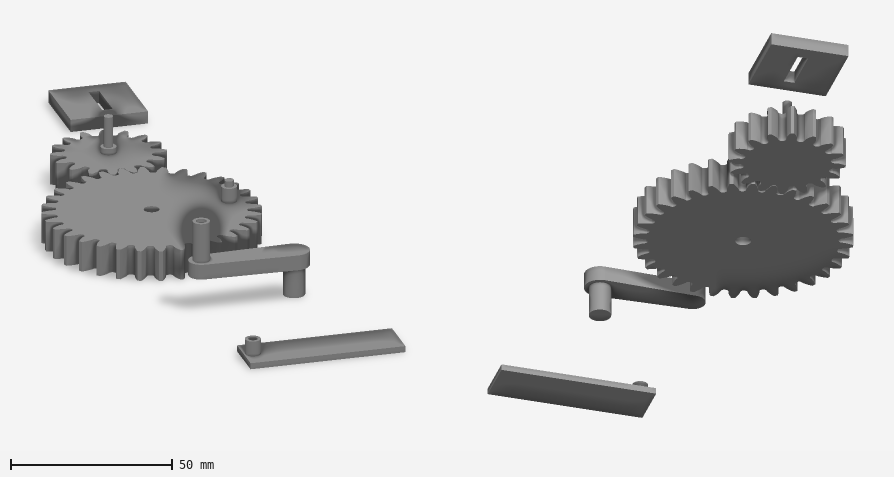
import cadquery as cq
import math


GEAR_THICKNESS = 10.0
MODULE = 2.0
WHEEL_TEETH = 32
PINION_TEETH = WHEEL_TEETH // 2
ADDENDUM = 2.15
DEDENDUM = 2.5
PRESSURE_ANGLE = math.radians(20)
BACKLASH = 0.1
FLANK_STEPS = 4
CENTER_DISTANCE = MODULE * (WHEEL_TEETH + PINION_TEETH) / 2

BOSS_DIAMETER = 5.0
PIN_DIAMETER = 3.0

PINION_COLLAR_HEIGHT = 2.0
PINION_PIN_TOP = 22.0

CRANKPIN_OFFSET = 25.0
ARM_THICKNESS = 5.0
CRANKPIN_TIP_HEIGHT = 2.0

CRANK_X = 55.1
CRANK_LENGTH = 30.0
CRANK_SMALL_RADIUS = 4.0
CRANK_LARGE_RADIUS = 5.0
CRANK_SHAFT_DIAMETER = 7.0
CRANK_PIN_DIAMETER = 5.5
CRANK_PIN_BORE = 3.4
CRANK_TOP = 28.0

BLOCK_SIDE = 25.0
BLOCK_THICKNESS = 4.0
BLOCK_LEFT = -115.0
SLOT_LENGTH = 15.0
SLOT_WIDTH = 3.4
SLOT_Y = 13.3

STRIP_WIDTH = 15.0
STRIP_LENGTH = 50.0
STRIP_THICKNESS = 2.0
STRIP_RIGHT = 110.0
SOCKET_HEIGHT = 5.0
SOCKET_Y = 3.0


def polar(radius, angle):
    return (radius * math.cos(angle), radius * math.sin(angle))


def cylinder(diameter, bottom, top, x=0, y=0):
    """Upright cylinder between two heights."""
    return (
        cq.Workplane("XY", origin=(x, y, bottom))
        .circle(diameter / 2)
        .extrude(top - bottom)
    )


def gear_blank(teeth, first_tooth_angle):
    """Involute spur gear whose tooth gaps end in a single round arc."""
    pitch_radius = MODULE * teeth / 2
    base_radius = pitch_radius * math.cos(PRESSURE_ANGLE)
    tip_radius = pitch_radius + ADDENDUM
    root_radius = pitch_radius - DEDENDUM
    tooth_step = 2 * math.pi / teeth
    involute_at_pitch = math.tan(PRESSURE_ANGLE) - PRESSURE_ANGLE
    base_half_angle = tooth_step / 4 + involute_at_pitch - BACKLASH / (2 * pitch_radius)

    flank = []
    for step in range(FLANK_STEPS + 1):
        radius = base_radius + (tip_radius - base_radius) * step / FLANK_STEPS
        roll_angle = math.acos(base_radius / radius)
        flank.append((radius, base_half_angle - math.tan(roll_angle) + roll_angle))

    outline = cq.Workplane("XY").moveTo(*polar(base_radius, first_tooth_angle - base_half_angle))
    for tooth in range(teeth):
        middle = first_tooth_angle + tooth * tooth_step
        rising = [polar(radius, middle - half) for radius, half in flank]
        falling = [polar(radius, middle + half) for radius, half in reversed(flank)]
        gap_bottom = polar(root_radius, middle + tooth_step / 2)
        next_tooth_start = polar(base_radius, middle + tooth_step - base_half_angle)
        outline = outline.spline(rising[1:], includeCurrent=True)
        outline = outline.threePointArc(polar(tip_radius, middle), falling[0])
        outline = outline.spline(falling[1:], includeCurrent=True)
        outline = outline.threePointArc(gap_bottom, next_tooth_start)
    return outline.close().extrude(GEAR_THICKNESS)


def make_wheel():
    """Large gear with a shaft hole and a stepped crankpin."""
    boss_top = GEAR_THICKNESS + ARM_THICKNESS
    tip_top = boss_top + CRANKPIN_TIP_HEIGHT
    bore = cylinder(BOSS_DIAMETER, 0, GEAR_THICKNESS)
    boss = cylinder(BOSS_DIAMETER, GEAR_THICKNESS, boss_top, y=CRANKPIN_OFFSET)
    tip = cylinder(PIN_DIAMETER, boss_top, tip_top, y=CRANKPIN_OFFSET)
    return gear_blank(WHEEL_TEETH, 0).cut(bore).union(boss).union(tip)


def make_pinion():
    """Small gear with a collar and pin, turned so that a gap faces the wheel."""
    collar_top = GEAR_THICKNESS + PINION_COLLAR_HEIGHT
    collar = cylinder(BOSS_DIAMETER, GEAR_THICKNESS, collar_top)
    pin = cylinder(PIN_DIAMETER, collar_top, PINION_PIN_TOP)
    pinion = gear_blank(PINION_TEETH, math.pi / PINION_TEETH).union(collar).union(pin)
    return pinion.translate((-CENTER_DISTANCE, 0, 0))


def make_crank():
    """Tapered arm with a shaft below its large end and a hollow pin on its small end."""
    arm_top = GEAR_THICKNESS + ARM_THICKNESS
    tangent_angle = math.asin((CRANK_LARGE_RADIUS - CRANK_SMALL_RADIUS) / CRANK_LENGTH)
    small_x, small_y = polar(CRANK_SMALL_RADIUS, -tangent_angle)
    large_x, large_y = polar(CRANK_LARGE_RADIUS, -tangent_angle)
    arm = (
        cq.Workplane("XY", origin=(0, 0, GEAR_THICKNESS))
        .moveTo(small_x, small_y)
        .lineTo(large_x, CRANK_LENGTH + large_y)
        .threePointArc((0, CRANK_LENGTH + CRANK_LARGE_RADIUS), (-large_x, CRANK_LENGTH + large_y))
        .lineTo(-small_x, small_y)
        .threePointArc((0, -CRANK_SMALL_RADIUS), (small_x, small_y))
        .close()
        .extrude(ARM_THICKNESS)
    )
    shaft = cylinder(CRANK_SHAFT_DIAMETER, 0, GEAR_THICKNESS, y=CRANK_LENGTH)
    pin = cylinder(CRANK_PIN_DIAMETER, arm_top, CRANK_TOP)
    pin_bore = cylinder(CRANK_PIN_BORE, arm_top, CRANK_TOP)
    crank = arm.union(shaft).union(pin).cut(pin_bore)
    return crank.translate((CRANK_X, 0, 0))


def make_block():
    """Square block with a slot through it."""
    middle_x = BLOCK_LEFT + BLOCK_SIDE / 2
    slot = (
        cq.Workplane("XY")
        .center(middle_x, SLOT_Y)
        .rect(SLOT_LENGTH, SLOT_WIDTH)
        .extrude(BLOCK_THICKNESS)
    )
    block = (
        cq.Workplane("XY")
        .center(middle_x, BLOCK_SIDE / 2)
        .rect(BLOCK_SIDE, BLOCK_SIDE)
        .extrude(BLOCK_THICKNESS)
    )
    return block.cut(slot)


def make_strip():
    """Thin strip with a hollow socket near one end."""
    middle_x = STRIP_RIGHT - STRIP_WIDTH / 2
    socket_top = STRIP_THICKNESS + SOCKET_HEIGHT
    plate = (
        cq.Workplane("XY")
        .center(middle_x, STRIP_LENGTH / 2)
        .rect(STRIP_WIDTH, STRIP_LENGTH)
        .extrude(STRIP_THICKNESS)
    )
    socket = cylinder(BOSS_DIAMETER, STRIP_THICKNESS, socket_top, middle_x, SOCKET_Y)
    socket_bore = cylinder(PIN_DIAMETER, STRIP_THICKNESS, socket_top, middle_x, SOCKET_Y)
    return plate.union(socket).cut(socket_bore)


wheel = make_wheel()
pinion = make_pinion()
crank = make_crank()
block = make_block()
strip = make_strip()

result = cq.Compound.makeCompound(
    [wheel.val(), pinion.val(), crank.val(), block.val(), strip.val()]
)